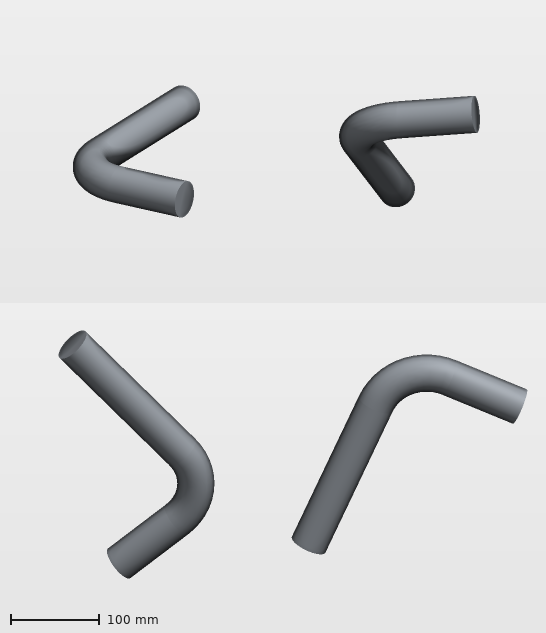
import cadquery as cq

length_x = 171.0
length_y = 271.0
diameter = 42.0
bend_radius = 1.5 * diameter

radius = diameter / 2
straight_x = length_x - radius - bend_radius
straight_y = length_y - radius - bend_radius

centreline = (
    cq.Workplane("XY")
    .moveTo(0, bend_radius + straight_y)
    .lineTo(0, bend_radius)
    .radiusArc((bend_radius, 0), -bend_radius)
    .lineTo(bend_radius + straight_x, 0)
)

section = cq.Workplane("XZ", origin=(0, bend_radius + straight_y, 0)).circle(radius)

result = section.sweep(centreline)